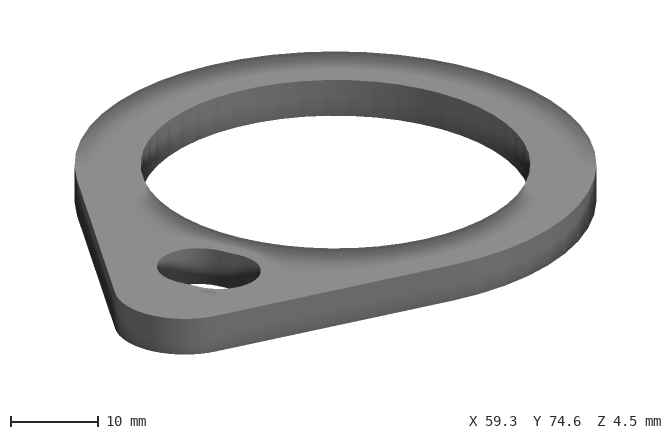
import cadquery as cq
import math

THICKNESS = 4.5
OVERALL_WIDTH = 59.33
OVERALL_LENGTH = 74.57

RING_RADIUS = OVERALL_WIDTH / 2
BORE_DIAMETER = 44.3

TIP_RADIUS = 8.0
TIP_END_Y = RING_RADIUS - OVERALL_LENGTH
TIP_CENTRE_Y = TIP_END_Y + TIP_RADIUS

SLOT_LENGTH = 12.1
SLOT_WIDTH = 9.5
SLOT_CENTRE_Y = -31.0


def plate():
    """Teardrop plate: ring arc and tip arc joined by their common tangents."""
    taper = math.asin((RING_RADIUS - TIP_RADIUS) / -TIP_CENTRE_Y)
    normal_x = math.cos(taper)
    normal_y = -math.sin(taper)

    ring_x = RING_RADIUS * normal_x
    ring_y = RING_RADIUS * normal_y
    tip_x = TIP_RADIUS * normal_x
    tip_y = TIP_CENTRE_Y + TIP_RADIUS * normal_y

    return (
        cq.Workplane("XY")
        .moveTo(ring_x, ring_y)
        .threePointArc((0, RING_RADIUS), (-ring_x, ring_y))
        .lineTo(-tip_x, tip_y)
        .threePointArc((0, TIP_END_Y), (tip_x, tip_y))
        .close()
        .extrude(THICKNESS)
    )


def bore():
    """Cutter for the large round opening of the ring."""
    return cq.Workplane("XY").circle(BORE_DIAMETER / 2).extrude(THICKNESS)


def slot():
    """Cutter for the round-ended slot in the tab."""
    return (
        cq.Workplane("XY")
        .center(0, SLOT_CENTRE_Y)
        .slot2D(SLOT_LENGTH, SLOT_WIDTH)
        .extrude(THICKNESS)
    )


result = plate().cut(bore()).cut(slot())